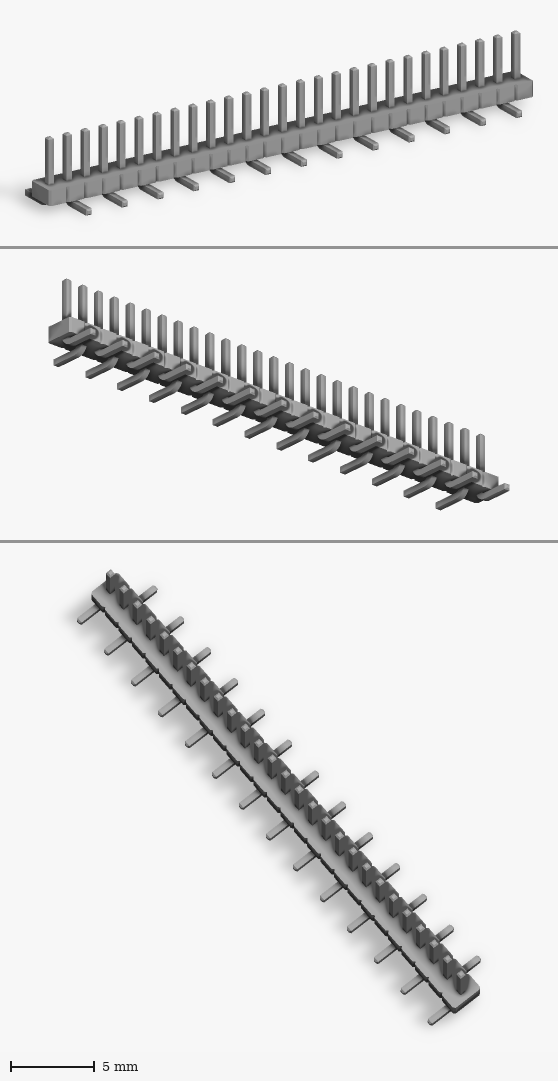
import cadquery as cq

pin_count = 27
pitch = 1.27

wire = 0.4
pin_top = 4.5
leg_reach = 2.5
bend_inner_radius = 0.4
bend_outer_radius = bend_inner_radius + wire
tip_chamfer = 0.1

body_width = 2.1
body_bottom = 0.5
body_top = 1.5
corner_bevel = pitch / 10


def pin_position(index):
    """Y position of a pin, with the row centred on the origin."""
    return (index - (pin_count - 1) / 2) * pitch


def make_body_cell():
    """One pitch of the insulator: a block whose four upright corners are bevelled."""
    return (
        cq.Workplane("XY")
        .workplane(offset=body_bottom)
        .rect(body_width, pitch)
        .extrude(body_top - body_bottom)
        .edges("|Z")
        .chamfer(corner_bevel)
    )


def make_pin():
    """An L-shaped pin with its leg toward -X and both tips bevelled."""
    half_wire = wire / 2
    bend_end_x = half_wire - bend_outer_radius
    pin = (
        cq.Workplane("XZ")
        .moveTo(half_wire, pin_top)
        .lineTo(half_wire, bend_outer_radius)
        .radiusArc((bend_end_x, 0), bend_outer_radius)
        .lineTo(-leg_reach, 0)
        .lineTo(-leg_reach, wire)
        .lineTo(bend_end_x, wire)
        .radiusArc((-half_wire, bend_outer_radius), -bend_inner_radius)
        .lineTo(-half_wire, pin_top)
        .close()
        .extrude(half_wire, both=True)
    )
    return pin.faces(">Z or <X").chamfer(tip_chamfer)


left_pin = make_pin()
right_pin = left_pin.rotate((0, 0, 0), (0, 0, 1), 180)
body_cell = make_body_cell()

parts = []
for index in range(pin_count):
    place = (0, pin_position(index), 0)
    pin = left_pin if index % 2 == 0 else right_pin
    parts.append(body_cell.translate(place).val())
    parts.append(pin.translate(place).val())

result = cq.Workplane(parts[0].fuse(*parts[1:]).clean())